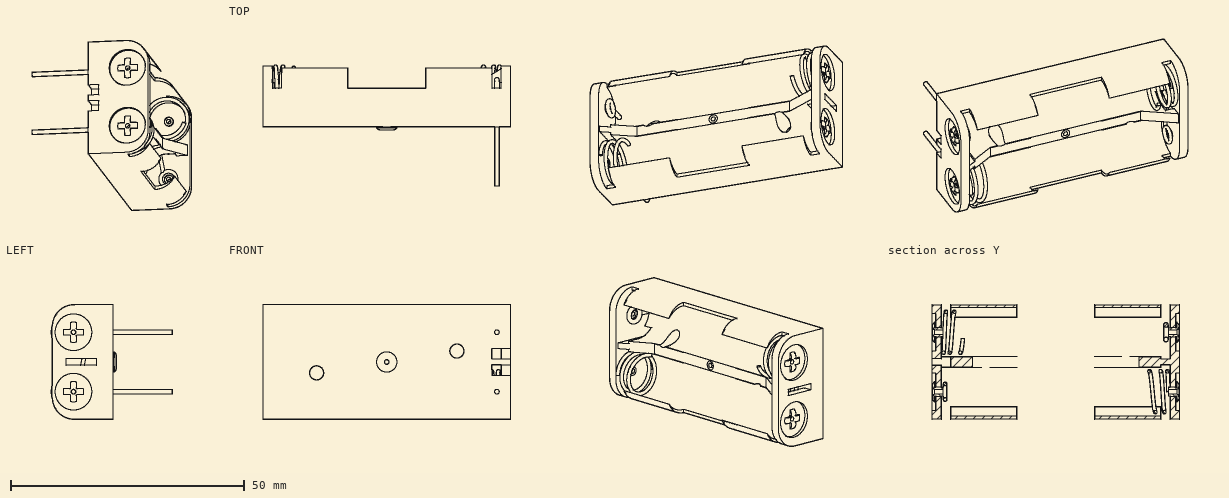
import cadquery as cq
import math


length = 53.0
width = 24.6
height = 13.05
shoulder_radius = 4.75
shoulder_height = height - shoulder_radius
end_wall = 2.0
wall_face = length / 2 - end_wall

cell_axis_height = 8.5
cell_z = 6.35
pocket_radius = 5.2
opening_edge_z = cell_z + 3.2
divider_half = cell_z - pocket_radius

bay_length = 2.0
finger_start = wall_face - bay_length
finger_end = 8.3
gusset_height = 12.45
gusset_angle = 31.0
gusset_run = (gusset_height - shoulder_height) / math.tan(math.radians(gusset_angle))

mount_hole_radius = 1.5
mount_hole_x = 15.0
mount_hole_z = 2.35
notch_inner_z = 0.65
notch_outer_z = 2.85
notch_width = notch_outer_z - notch_inner_z
notch_depth = 2.3
notch_z = (notch_inner_z + notch_outer_z) / 2

recess_radius = 3.9
recess_depth = 0.8
slot_bottom = 3.55
slot_top = 10.1
slot_width = 1.4
passage_half = 2.65

bore_radius = 0.5
shank_radius = 0.95
lip_radius = 2.15
lip_height = 0.7
lip_gap = 0.2
petal_width = 1.25
rivet_standout = 0.4

wire = 0.8
spring_outer = 4.75
coil_radius = spring_outer - wire / 2
first_pitch = 0.75
pitch_growth = 0.5
spring_turns = 2.3
plain_start_angle = 90.0
points_per_turn = 20

pin_diameter = 1.0
pin_length = 12.65
loop_outer = 2.05
loop_offset = rivet_standout + pin_diameter / 2
pin_x = wall_face - loop_offset
link_start_angle = 217.0
link_end_angle = -40.0


def block(x0, x1, y0, y1, z0, z1):
    return cq.Workplane("XY").box(x1 - x0, y1 - y0, z1 - z0, centered=False).translate((x0, y0, z0))


def x_cylinder(radius, x0, x1, z):
    """Cylinder along X centred on a cell axis."""
    return cq.Workplane("YZ", origin=(x0, cell_axis_height, z)).circle(radius).extrude(x1 - x0)


def y_cylinder(radius, x, z, y0, y1):
    return cq.Workplane("XZ", origin=(x, y0, z)).circle(radius).extrude(y0 - y1)


def cut_pockets(body):
    for side in (1, -1):
        body = body.cut(x_cylinder(pocket_radius, -wall_face, wall_face, side * cell_z))
        z0, z1 = sorted((side * divider_half, side * opening_edge_z))
        body = body.cut(block(-wall_face, wall_face, cell_axis_height, height, z0, z1))
    return body


def cut_fingers(body):
    """Open the sides at mid-length and next to the end walls, leaving four fingers."""
    gaps = ((-wall_face, -finger_start), (-finger_end, finger_end), (finger_start, wall_face))
    for x0, x1 in gaps:
        for z0, z1 in ((-width / 2, -divider_half), (divider_half, width / 2)):
            body = body.cut(block(x0, x1, shoulder_height, height, z0, z1))
    return body


def cut_divider_top(body):
    """Lower the divider to the shoulders, leaving a sloping gusset at each end wall."""
    low_x = wall_face - gusset_run
    clearance = (
        cq.Workplane("XY", origin=(0, 0, -divider_half))
        .polyline([
            (-low_x, shoulder_height),
            (low_x, shoulder_height),
            (wall_face, gusset_height),
            (wall_face, height),
            (-wall_face, height),
            (-wall_face, gusset_height),
        ])
        .close()
        .extrude(2 * divider_half)
    )
    return body.cut(clearance)


def cut_base(body):
    for side in (1, -1):
        body = body.cut(y_cylinder(mount_hole_radius, side * mount_hole_x, side * mount_hole_z, 0, height))
        z0 = side * notch_z - notch_width / 2
        z1 = z0 + notch_width
        body = body.cut(block(finger_start, wall_face, 0, height, z0, z1))
        body = body.cut(block(wall_face, length / 2, 0, notch_depth, z0, z1))
        body = body.cut(y_cylinder(pin_diameter / 2, pin_x, side * cell_z, 0, cell_axis_height))
    return body.cut(y_cylinder(shank_radius, 0, 0, 0, height))


def cut_end_walls(body):
    recess_face = length / 2 - recess_depth
    for end in (1, -1):
        for side in (1, -1):
            recess = sorted((end * recess_face, end * length / 2))
            shank = sorted((end * wall_face, end * recess_face))
            body = body.cut(x_cylinder(recess_radius, *recess, side * cell_z))
            body = body.cut(x_cylinder(shank_radius, *shank, side * cell_z))
    slot = block(-length / 2, -wall_face, slot_bottom, slot_top, -slot_width / 2, slot_width / 2)
    passage = block(-wall_face, -finger_start, slot_bottom, slot_top, -passage_half, passage_half)
    return body.cut(slot).cut(passage)


def make_housing():
    body = (
        block(-length / 2, length / 2, 0, height, -width / 2, width / 2)
        .edges("|X and >Y")
        .fillet(shoulder_radius)
    )
    for cut_feature in (cut_pockets, cut_fingers, cut_divider_top, cut_base, cut_end_walls):
        body = cut_feature(body)
    return body


def make_rivet(shank_length):
    """Tubular rivet along Y: shank rises from the seat at y = 0, curled lip lies below it."""
    crest_radius = (bore_radius + lip_radius) / 2
    return (
        cq.Workplane("XY")
        .moveTo(bore_radius, shank_length)
        .lineTo(bore_radius, -lip_gap)
        .threePointArc((crest_radius, -lip_height), (lip_radius, -lip_gap))
        .lineTo(shank_radius, -lip_gap)
        .lineTo(shank_radius, shank_length)
        .close()
        .revolve(360, (0, 0), (0, 1))
    )


def make_end_rivet(end, side):
    """Rivet along X whose lip is split into four petals, seated in an end wall recess."""
    shank_length = end_wall - recess_depth + rivet_standout
    span = 2 * lip_radius
    depth = 2 * (shank_length + lip_height)
    petals = (
        cq.Workplane("XY").box(span, depth, petal_width)
        .union(cq.Workplane("XY").box(petal_width, depth, span))
        .union(y_cylinder(shank_radius, 0, 0, -depth / 2, depth / 2))
    )
    rivet = make_rivet(shank_length).intersect(petals)
    rivet = rivet.rotate((0, 0, 0), (0, 0, 1), end * 90)
    return rivet.translate((end * (length / 2 - recess_depth), cell_axis_height, side * cell_z))


def coil_point(end, side, start_angle, turn):
    """Centre of the wire; angles are measured from +Z towards +Y."""
    angle = math.radians(start_angle) - 2 * math.pi * turn
    depth = wire / 2 + first_pitch * turn + pitch_growth * turn ** 2
    return cq.Vector(
        end * (wall_face - depth),
        cell_axis_height + coil_radius * math.sin(angle),
        side * cell_z + coil_radius * math.cos(angle),
    )


def make_coil(end, side, start_angle):
    count = round(spring_turns * points_per_turn)
    points = [coil_point(end, side, start_angle, i / points_per_turn) for i in range(count + 1)]
    path = cq.Edge.makeSpline(points)
    start = cq.Plane(origin=points[0], normal=path.tangentAt(0))
    return cq.Workplane(start).circle(wire / 2).sweep(cq.Workplane(obj=path), isFrenet=True)


def make_loop(end, side, wire_size):
    """Closed wire loop around a cell axis, resting on the end of its rivet."""
    loop = cq.Solid.makeTorus(
        loop_outer - wire_size / 2,
        wire_size / 2,
        cq.Vector(end * (wall_face - rivet_standout - wire_size / 2), cell_axis_height, side * cell_z),
        cq.Vector(1, 0, 0),
    )
    return cq.Workplane(obj=loop)


def make_linked_spring():
    """Spring of the upper cell, with a link to a loop at the other cell's rivet."""
    start = coil_point(-1, 1, link_start_angle, 0)
    loop_radius = loop_outer - wire / 2
    angle = math.radians(link_end_angle)
    finish = cq.Vector(
        -wall_face + rivet_standout + wire / 2,
        cell_axis_height + loop_radius * math.sin(angle),
        -cell_z + loop_radius * math.cos(angle),
    )
    run = finish - start
    link = cq.Solid.makeCylinder(wire / 2, run.Length, start, run)
    elbow = cq.Workplane("XY").sphere(wire / 2).translate(start)
    coil = make_coil(-1, 1, link_start_angle)
    return make_loop(-1, -1, wire).union(cq.Workplane(obj=link)).union(elbow).union(coil)


def make_pin(side, top):
    return y_cylinder(pin_diameter / 2, pin_x, side * cell_z, -pin_length, top)


def make_looped_pin():
    loop_bottom = cell_axis_height - loop_outer + pin_diameter / 2
    return make_pin(1, loop_bottom).union(make_loop(1, 1, pin_diameter))


housing = make_housing()
center_eyelet = make_rivet(shoulder_height)
end_rivets = [make_end_rivet(end, side) for end in (1, -1) for side in (1, -1)]
linked_spring = make_linked_spring()
plain_spring = make_coil(1, -1, plain_start_angle)
looped_pin = make_looped_pin()
plain_pin = make_pin(-1, cell_axis_height - spring_outer)

result = cq.Compound.makeCompound([
    housing.val(),
    center_eyelet.val(),
    *[rivet.val() for rivet in end_rivets],
    linked_spring.val(),
    plain_spring.val(),
    looped_pin.val(),
    plain_pin.val(),
])